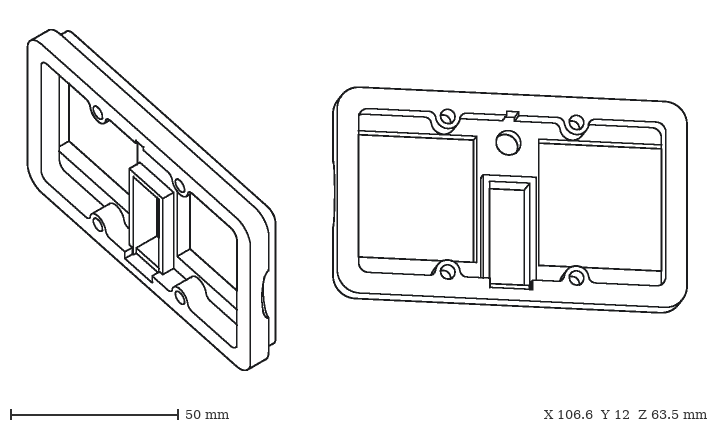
import cadquery as cq


length = 106.6
height = 63.5
total_depth = 12.0
flange_depth = 7.0
flange_corner_radius = 6.8
plate_inset = 3.0

pocket_length = 93.6
pocket_height = 50.5
pocket_corner_radius = 3.0
boss_radius = 3.7
boss_blend_radius = 2.1
boss_spacing_x = 39.2
boss_spacing_z = 48.0
screw_hole_diameter = 4.4
screw_hole_depth = flange_depth

window_size = 38.9
web_width = 19.0
window_center_z = 0.6

web_hole_diameter = 7.5
web_hole_x = 0.2
web_hole_z = 18.5
key_notch_width = 3.6
key_notch_top_z = 26.4

slot_center_x = -0.2
slot_width = 12.3
slot_top_z = 5.3
slot_bottom_z = -25.9
frame_wall = 1.9
frame_front_y = 2.9
cable_notch_width = 13.0
cable_notch_depth = 4.0
cable_notch_bottom_z = -28.1

recess_half_height = 10.1
recess_radius = 2.7

pocket_top_z = pocket_height / 2
pocket_bottom_z = -pocket_top_z
boss_centers = [
    (side_x * boss_spacing_x / 2, side_z * boss_spacing_z / 2)
    for side_x in (-1, 1)
    for side_z in (-1, 1)
]


def block(center_x, width, y_front, y_back, z_bottom, z_top):
    """Box centred on center_x, spanning the given Y and Z ranges."""
    depth = y_back - y_front
    box = cq.Workplane("XY").box(width, depth, z_top - z_bottom, centered=(True, False, False))
    return box.translate((center_x, y_front, z_bottom))


def cylinder(x, z, radius, y_front, y_back):
    """Cylinder along Y between y_front and y_back."""
    axis = cq.Vector(0, 1, 0)
    return cq.Workplane(cq.Solid.makeCylinder(radius, y_back - y_front, cq.Vector(x, y_front, z), axis))


def rounded_block(width, tall, y_front, y_back, radius):
    """Centred box with its four edges along Y rounded."""
    return block(0, width, y_front, y_back, -tall / 2, tall / 2).edges("|Y").fillet(radius)


def make_body():
    flange = rounded_block(length, height, 0, flange_depth, flange_corner_radius)
    plate = rounded_block(
        length - 2 * plate_inset,
        height - 2 * plate_inset,
        flange_depth,
        total_depth,
        flange_corner_radius - plate_inset,
    )
    return flange.union(plate)


def make_pocket():
    """Pocket volume, with the bosses left standing and blended into its long walls."""
    pocket = rounded_block(pocket_length, pocket_height, 0, flange_depth, pocket_corner_radius)
    for x, z in boss_centers:
        pocket = pocket.cut(cylinder(x, z, boss_radius, 0, flange_depth))
    blend_tolerance = 0.1
    for x, z in boss_centers:
        wall_z = pocket_top_z if z > 0 else pocket_bottom_z
        near_wall = cq.selectors.BoxSelector(
            (x - boss_radius, 0, wall_z - blend_tolerance),
            (x + boss_radius, flange_depth, wall_z + blend_tolerance),
        )
        pocket = pocket.edges("|Y").edges(near_wall).fillet(boss_blend_radius)
    return pocket


def make_windows():
    offset_x = (web_width + window_size) / 2
    bottom_z = window_center_z - window_size / 2
    window = block(offset_x, window_size, flange_depth, total_depth, bottom_z, bottom_z + window_size)
    return window.union(window.mirror("YZ"))


def make_finger_recess(end_x):
    """Spheroid about a Z axis on the rear edge of a flange end, kept within the flange depth."""
    spheroid = (
        cq.Workplane("YZ")
        .moveTo(0, -recess_half_height)
        .ellipseArc(recess_radius, recess_half_height, -90, 90, startAtCurrent=True)
        .close()
        .revolve(360, (0, 0, 0), (0, 1, 0))
        .translate((end_x, flange_depth, 0))
    )
    return spheroid.intersect(block(end_x, length, 0, flange_depth, -height / 2, height / 2))


result = make_body().cut(make_pocket()).cut(make_windows())

for x, z in boss_centers:
    result = result.cut(cylinder(x, z, screw_hole_diameter / 2, 0, screw_hole_depth))

result = result.cut(cylinder(web_hole_x, web_hole_z, web_hole_diameter / 2, flange_depth, total_depth))
result = result.cut(block(web_hole_x, key_notch_width, 0, flange_depth, web_hole_z, key_notch_top_z))

slot_frame = block(
    slot_center_x,
    slot_width + 2 * frame_wall,
    frame_front_y,
    flange_depth,
    pocket_bottom_z,
    slot_top_z + frame_wall,
)
result = result.union(slot_frame)
result = result.cut(
    block(slot_center_x, slot_width, frame_front_y, total_depth, slot_bottom_z, slot_top_z)
)
for notch_width, notch_depth in (
    (cable_notch_width, frame_front_y),
    (slot_width, cable_notch_depth),
):
    result = result.cut(
        block(slot_center_x, notch_width, 0, notch_depth, cable_notch_bottom_z, pocket_bottom_z)
    )

for end_x in (-length / 2, length / 2):
    result = result.cut(make_finger_recess(end_x))